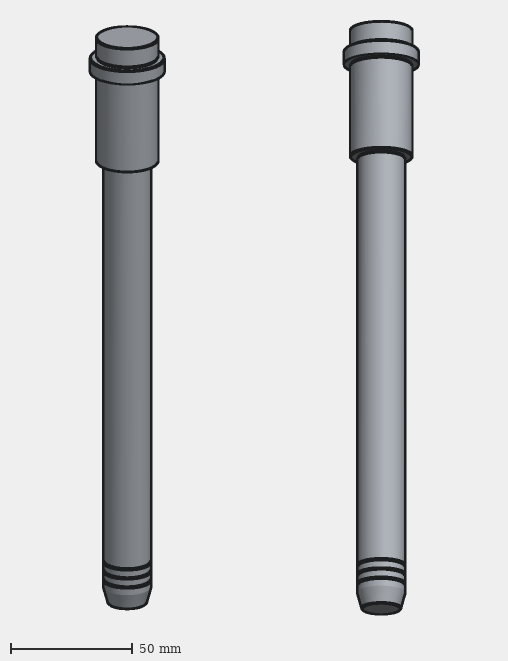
import cadquery as cq

TOTAL_LENGTH = 250.0
SHAFT_DIAMETER = 20.0
HEAD_DIAMETER = 26.0
COLLAR_DIAMETER = 31.0

SPIGOT_LENGTH = 9.0
COLLAR_THICKNESS = 6.0
SEAT_LENGTH = 40.0
EDGE_CHAMFER = 0.5

RELIEF_WIDTH = 1.0
RELIEF_DEPTH = 0.5

NOSE_LENGTH = 7.0
NOSE_END_DIAMETER = 16.5
TIP_CHAMFER = 0.5

GROOVE_COUNT = 3
GROOVE_WIDTH = 1.0
GROOVE_PITCH = 4.0
LOWEST_GROOVE_Z = 10.0

collar_top = TOTAL_LENGTH - SPIGOT_LENGTH
collar_bottom = collar_top - COLLAR_THICKNESS
seat_bottom = collar_bottom - SEAT_LENGTH


def cylinder(diameter, z_bottom, z_top):
    """Solid cylinder about Z between two heights."""
    return cq.Workplane("XY", origin=(0, 0, z_bottom)).circle(diameter / 2).extrude(z_top - z_bottom)


def v_groove(diameter, z_bottom, width):
    """Ring that cuts a 90 degree V groove of this mouth width into a cylinder of this diameter."""
    radius = diameter / 2
    half_width = width / 2
    z_middle = z_bottom + half_width
    section = cq.Workplane("XZ").polyline(
        [
            (radius - half_width, z_middle),
            (radius, z_bottom),
            (radius + half_width, z_middle),
            (radius, z_bottom + width),
        ]
    )
    return section.close().revolve(360, (0, 0, 0), (0, 1, 0))


def make_nose():
    """Conical lead-in below the shaft, with a small chamfer around its tip."""
    shaft_radius = SHAFT_DIAMETER / 2
    end_radius = NOSE_END_DIAMETER / 2
    profile = (
        cq.Workplane("XZ")
        .moveTo(0, NOSE_LENGTH)
        .lineTo(shaft_radius, NOSE_LENGTH)
        .lineTo(end_radius, TIP_CHAMFER)
        .lineTo(end_radius - TIP_CHAMFER, 0)
        .lineTo(0, 0)
        .close()
    )
    return profile.revolve(360, (0, 0, 0), (0, 1, 0))


def make_pillar():
    """Nose, shaft, seat, collar and spigot stacked along Z."""
    shaft = cylinder(SHAFT_DIAMETER, NOSE_LENGTH, seat_bottom)
    seat = cylinder(HEAD_DIAMETER, seat_bottom, collar_bottom).faces("<Z").chamfer(EDGE_CHAMFER)
    collar = cylinder(COLLAR_DIAMETER, collar_bottom, collar_top).faces(">Z").chamfer(EDGE_CHAMFER)
    spigot = cylinder(HEAD_DIAMETER, collar_top, TOTAL_LENGTH).faces(">Z").chamfer(EDGE_CHAMFER)
    return make_nose().union(shaft).union(seat).union(collar).union(spigot)


def corner_relief(diameter, z_corner, direction):
    """Ring that undercuts a corner: square against the shoulder, then rising at 45 degrees.

    The relief starts at the shoulder height z_corner and runs up (direction 1) or down (-1).
    """
    radius = diameter / 2
    floor_radius = radius - RELIEF_DEPTH
    z_floor_end = z_corner + direction * (RELIEF_WIDTH - RELIEF_DEPTH)
    z_end = z_corner + direction * RELIEF_WIDTH
    section = cq.Workplane("XZ").polyline(
        [
            (radius, z_corner),
            (floor_radius, z_corner),
            (floor_radius, z_floor_end),
            (radius, z_end),
        ]
    )
    return section.close().revolve(360, (0, 0, 0), (0, 1, 0))


def cut_reliefs(body):
    """Relieve the corners above the collar, below the collar and below the seat."""
    body = body.cut(corner_relief(HEAD_DIAMETER, collar_top, 1))
    body = body.cut(corner_relief(HEAD_DIAMETER, collar_bottom, -1))
    return body.cut(corner_relief(SHAFT_DIAMETER, seat_bottom, -1))


def cut_lubrication_grooves(body):
    """Evenly spaced ring grooves near the lower end of the shaft."""
    for index in range(GROOVE_COUNT):
        z_bottom = LOWEST_GROOVE_Z + index * GROOVE_PITCH
        body = body.cut(v_groove(SHAFT_DIAMETER, z_bottom, GROOVE_WIDTH))
    return body


result = cut_lubrication_grooves(cut_reliefs(make_pillar()))